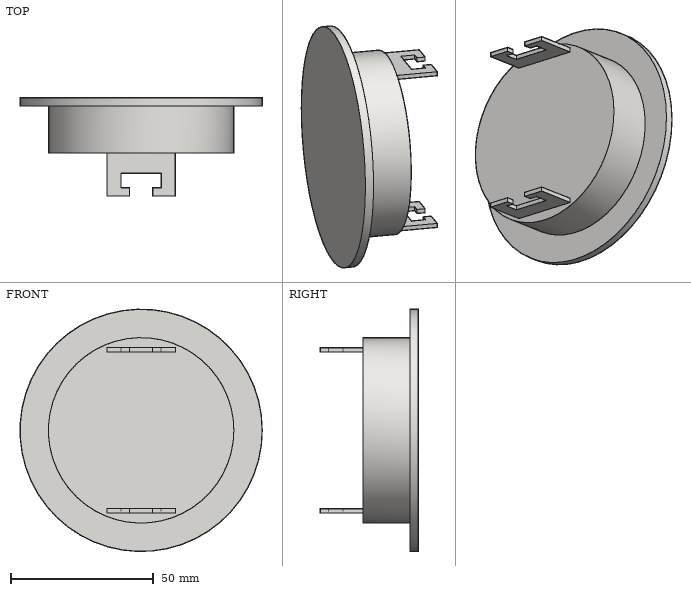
import cadquery as cq

flange_diameter = 85.0
flange_thickness = 3.0
boss_diameter = 65.0
boss_length = 16.5

clip_width = 24.0
clip_length = 15.05
clip_thickness = 1.5
clip_center_height = 28.2
window_width = 14.0
window_depth = 5.0
hook_thickness = 3.0
mouth_width = 8.0

boss_face_y = -(flange_thickness + boss_length)
clip_tip_y = boss_face_y - clip_length
window_center_y = clip_tip_y + hook_thickness + window_depth / 2


def make_body():
    """Flange with its back at Y = 0 and the boss in front of it."""
    flange = cq.Workplane("XZ").circle(flange_diameter / 2).extrude(flange_thickness)
    return flange.faces("<Y").workplane().circle(boss_diameter / 2).extrude(boss_length)


def make_clip(center_z):
    """Flat clip with a T-shaped opening that leaves two inward hooks."""
    plate = cq.Workplane("XY").box(clip_width, clip_length, clip_thickness)
    plate = plate.translate((0, boss_face_y - clip_length / 2, center_z))
    window = cq.Workplane("XY").box(window_width, window_depth, clip_thickness)
    window = window.translate((0, window_center_y, center_z))
    mouth = cq.Workplane("XY").box(mouth_width, hook_thickness, clip_thickness)
    mouth = mouth.translate((0, clip_tip_y + hook_thickness / 2, center_z))
    return plate.cut(window).cut(mouth)


result = make_body()
for side in (-1, 1):
    result = result.union(make_clip(side * clip_center_height))